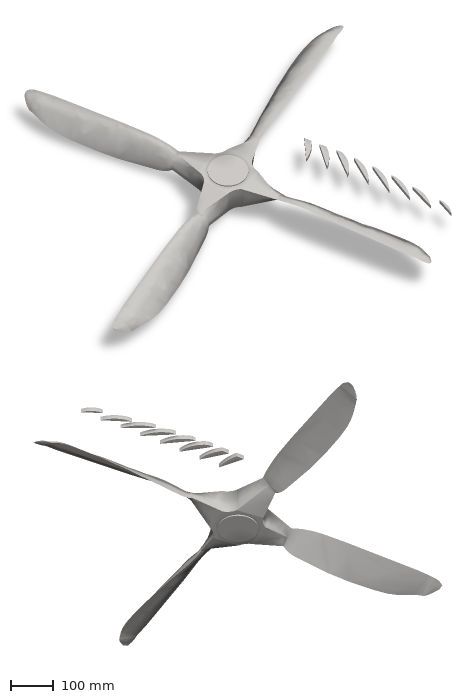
import cadquery as cq
import math

tip_radius = 540.0
station_start = 136.0
station_pitch = 54.0

disc_radius = 48.0
disc_height = 69.0
hub_height = 63.0
arm_root_left = (53.0, -36.0)
arm_root_right = (62.0, 31.0)
hub_waist_radius = 60.0
arm_count = 4

gauge_thickness = 11.0
gauge_base_y = 136.0
gauge_bottom_z = -gauge_thickness / 2

airfoils = [
    (33.0, 56.0, 19.0, 14.0),
    (48.0, 55.0, 18.0, 14.0),
    (57.0, 56.0, 13.0, 14.0),
    (65.0, 53.0, 10.0, 12.0),
    (68.0, 49.0, 10.0, 11.0),
    (70.0, 43.0, 10.0, 10.0),
    (65.0, 33.0, 10.0, 9.0),
    (44.0, 25.0, 4.0, 6.0),
]
leading_edges = [
    (-16.0, 16.0), (-22.0, 28.0), (-26.0, 29.0), (-29.0, 27.0),
    (-31.0, 26.0), (-35.0, 24.0), (-37.0, 22.0), (-37.0, 18.0),
]
neck_airfoil = (35.0, 30.0, 9.0, 12.0)
tip_sections = [
    (529.0, (-36.0, 15.0), (30.0, 14.0, 3.0, 4.0)),
    (tip_radius, (-31.0, 11.0), (11.0, 4.0, 1.0, 1.0)),
]


def airfoil_points(airfoil, leading):
    """Leading end, nose corner, crown of the camber and trailing end."""
    width, height, nose, thickness = airfoil
    left, top = leading
    corner = (left + nose, top)
    trailing = (left + width, top - height)
    chord = math.hypot(width, height)
    crown = (
        left + width / 2 + thickness * height / chord,
        top - height / 2 + thickness * width / chord,
    )
    return (left, top), corner, crown, trailing


def station_radius(index):
    return station_start + index * station_pitch


def blade_section(radius, airfoil, leading):
    """Wire across the blade: a rounded cambered face closed by a flat face."""
    lead, corner, crown, trailing = [
        cq.Vector(radius, y, z) for y, z in airfoil_points(airfoil, leading)
    ]
    camber = cq.Edge.makeSpline([lead, (lead + corner) * 0.5, crown, trailing])
    return cq.Wire.assembleEdges([camber, cq.Edge.makeLine(trailing, lead)])


def blade():
    blade_airfoils = [neck_airfoil] + airfoils[1:]
    sections = [
        blade_section(station_radius(index), airfoil, leading)
        for index, (airfoil, leading) in enumerate(zip(blade_airfoils, leading_edges))
    ]
    tips = [blade_section(radius, airfoil, leading) for radius, leading, airfoil in tip_sections]
    main = cq.Solid.makeLoft(sections)
    tip = cq.Solid.makeLoft([sections[-1]] + tips)
    return main.fuse(tip)


def arm():
    """Ruled transition from the square hub flank to the twisted blade root."""
    top = hub_height / 2
    left_x, left_y = arm_root_left
    right_x, right_y = arm_root_right
    root = cq.Wire.makePolygon(
        [
            cq.Vector(left_x, left_y, top),
            cq.Vector(right_x, right_y, top),
            cq.Vector(right_x, right_y, -top),
            cq.Vector(left_x, left_y, -top),
        ],
        close=True,
    )
    lead, corner, crown, trailing = [
        cq.Vector(station_start, y, z) for y, z in airfoil_points(neck_airfoil, leading_edges[0])
    ]
    neck = cq.Wire.assembleEdges(
        [
            cq.Edge.makeLine(lead, corner),
            cq.Edge.makeThreePointArc(corner, crown, trailing),
            cq.Edge.makeLine(trailing, (lead + trailing) * 0.5),
            cq.Edge.makeLine((lead + trailing) * 0.5, lead),
        ]
    )
    return cq.Solid.makeLoft([root, neck], True)


def turned(point, turn):
    angle = turn * 2 * math.pi / arm_count
    x, y = point
    return (x * math.cos(angle) - y * math.sin(angle), x * math.sin(angle) + y * math.cos(angle))


def hub():
    """Four-armed block with a hollowed waist between arms, and a disc standing proud."""
    diagonal = math.pi / arm_count
    waist = (hub_waist_radius * math.cos(diagonal), hub_waist_radius * math.sin(diagonal))
    outline = cq.Workplane("XY").workplane(offset=-hub_height / 2).moveTo(*arm_root_left)
    for turn in range(arm_count):
        outline = outline.lineTo(*turned(arm_root_right, turn))
        outline = outline.threePointArc(turned(waist, turn), turned(arm_root_left, turn + 1))
    block = outline.close().extrude(hub_height)
    disc = cq.Workplane("XY").circle(disc_radius).extrude(disc_height / 2, both=True)
    return block.union(disc)


def propeller():
    spoke = cq.Workplane(arm()).union(cq.Workplane(blade()))
    body = hub()
    for turn in range(arm_count):
        body = body.union(spoke.rotate((0, 0, 0), (0, 0, 1), turn * 360 / arm_count))
    return body


def section_gauge(index):
    """Flat plate cut to a blade airfoil, its trailing end at the radius of its station."""
    width, height = airfoils[index][:2]
    leading = (station_radius(index) - width, gauge_base_y + height)
    lead, corner, crown, trailing = airfoil_points(airfoils[index], leading)
    return (
        cq.Workplane("XY")
        .workplane(offset=gauge_bottom_z)
        .moveTo(*lead)
        .lineTo(*corner)
        .threePointArc(crown, trailing)
        .close()
        .extrude(gauge_thickness)
    )


section_gauges = [section_gauge(index).val() for index in range(len(airfoils))]

result = cq.Compound.makeCompound([propeller().val(), *section_gauges])